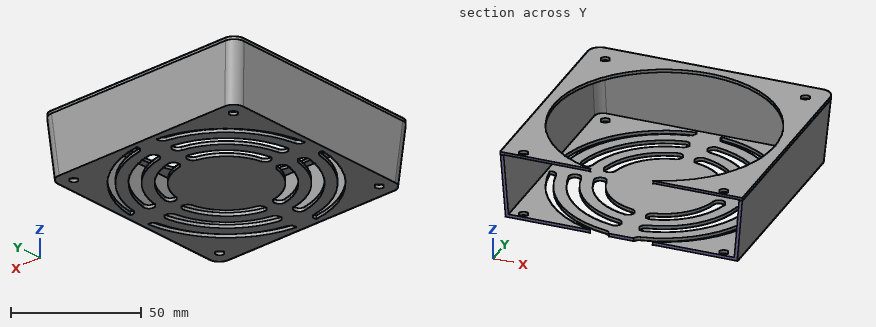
import cadquery as cq
import math

outer_side = 100.0
total_height = 27.9
corner_radius = 5.0

lid_thickness = 1.3
opening_diameter = 91.0

housing_height = total_height - lid_thickness
base_side = 95.8
wall_thickness = 1.5
floor_thickness = 1.5

screw_diameter = 3.6
screw_spacing = 82.6

slot_width = 5.0
first_slot_radius = 25.0
slot_pitch = 2 * slot_width
ring_count = 3
slots_per_ring = 4
first_bridge_half_width = 2.5
bridge_half_width_step = 1.25


def rounded_square(z, inset):
    """Wire of the housing outline at height z, offset inward by inset."""
    side = base_side + (outer_side - base_side) * z / housing_height - 2 * inset
    outline = cq.Sketch().rect(side, side).vertices().fillet(corner_radius - inset)
    return outline.reset().faces().val().outerWire().moved(cq.Location(cq.Vector(0, 0, z)))


def tapered_block(bottom_z, inset):
    """Block with sloping sides from bottom_z up to the rim; its corner radius stays constant."""
    outlines = [rounded_square(bottom_z, inset), rounded_square(housing_height, inset)]
    return cq.Workplane(cq.Solid.makeLoft(outlines, True))


def screw_holes():
    """Four cylinders through the full height at the screw positions."""
    return (
        cq.Workplane("XY")
        .rect(screw_spacing, screw_spacing, forConstruction=True)
        .vertices()
        .circle(screw_diameter / 2)
        .extrude(total_height)
    )


def vent_slot(radius, bridge_half_width):
    """Round-ended arc slot in the first quadrant, stopping short of both axes."""
    end_offset = bridge_half_width + slot_width / 2
    start_angle = math.asin(end_offset / radius)
    end_angle = math.pi / 2 - start_angle

    def polar(distance, angle):
        return (distance * math.cos(angle), distance * math.sin(angle))

    inner_radius = radius - slot_width / 2
    outer_radius = radius + slot_width / 2
    middle_angle = math.pi / 4
    cap_angle = slot_width / 2 / radius
    return (
        cq.Workplane("XY")
        .moveTo(*polar(inner_radius, start_angle))
        .threePointArc(polar(inner_radius, middle_angle), polar(inner_radius, end_angle))
        .threePointArc(polar(radius, end_angle + cap_angle), polar(outer_radius, end_angle))
        .threePointArc(polar(outer_radius, middle_angle), polar(outer_radius, start_angle))
        .threePointArc(polar(radius, start_angle - cap_angle), polar(inner_radius, start_angle))
        .close()
        .extrude(floor_thickness)
    )


def make_housing():
    """Drafted tray with vented floor and screw holes."""
    body = tapered_block(0, 0)
    body = body.cut(tapered_block(floor_thickness, wall_thickness))
    body = body.cut(screw_holes())
    vent_disc = cq.Workplane("XY").circle(opening_diameter / 2).extrude(floor_thickness)
    for ring in range(ring_count):
        radius = first_slot_radius + ring * slot_pitch
        bridge_half_width = first_bridge_half_width + ring * bridge_half_width_step
        slot = vent_slot(radius, bridge_half_width).intersect(vent_disc)
        for index in range(slots_per_ring):
            angle = index * 360 / slots_per_ring
            body = body.cut(slot.rotate((0, 0, 0), (0, 0, 1), angle))
    return body


def make_lid():
    """Square frame on top of the housing rim."""
    return (
        cq.Workplane("XY", origin=(0, 0, housing_height))
        .rect(outer_side, outer_side)
        .extrude(lid_thickness)
        .edges("|Z")
        .fillet(corner_radius)
        .faces(">Z")
        .workplane()
        .hole(opening_diameter)
        .cut(screw_holes())
    )


housing = make_housing()
lid = make_lid()

result = cq.Compound.makeCompound([housing.val(), lid.val()])